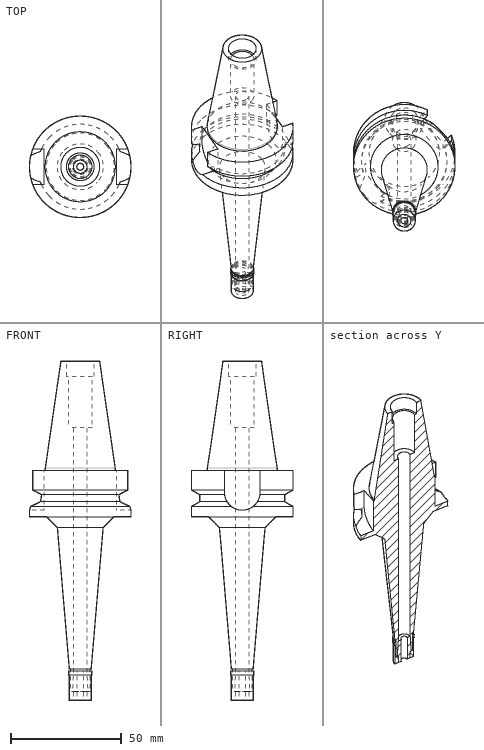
import cadquery as cq


gauge_diameter = 31.75
taper_rate = 7 / 24
taper_length = 48.4
shank_top_diameter = gauge_diameter - taper_rate * taper_length

flange_diameter = 46.0
flange_top_z = -1.0
flange_bottom_z = -22.0
groove_diameter = 38.6
groove_upper_edge_z = -9.9
groove_floor_top_z = -12.0
groove_floor_bottom_z = -15.1
groove_lower_edge_z = -17.3

slot_width = 16.1
slot_floor_offset = 16.3
slot_bottom_z = -19.0

shoulder_top_diameter = 30.6
shoulder_bottom_diameter = 20.8
shoulder_bottom_z = flange_bottom_z - (shoulder_top_diameter - shoulder_bottom_diameter) / 2
extension_end_diameter = 10.0
extension_end_z = -90.8

nut_diameter = 10.0
nut_collar_diameter = 10.6
nut_bottom_z = -105.0
nut_collar_bottom_z = -93.5
nut_top_z = -91.7

nose_diameter = 9.0
nose_bottom_z = -101.0

counterbore_diameter = 12.5
counterbore_depth = 7.0
thread_bore_diameter = 10.6
thread_bore_depth = 30.0
coolant_bore_diameter = 6.0

collet_top_z = nut_top_z
collet_top_diameter = coolant_bore_diameter
collet_seat_diameter = 7.0
collet_front_diameter = 6.0
collet_bore_diameter = 3.0


def revolve_profile(points):
    """Revolve a closed outline of (diameter, height) points around the Z axis."""
    outline = [(diameter / 2, height) for diameter, height in points]
    return cq.Workplane("XZ").polyline(outline).close().revolve(360, (0, 0), (0, 1))


def drive_slot(side):
    """Round-ended slot that runs down from the top of the flange on the +X or -X side."""
    radius = slot_width / 2
    depth = flange_diameter / 2 - slot_floor_offset
    return (
        cq.Workplane("YZ", origin=(side * slot_floor_offset, 0, 0))
        .moveTo(-radius, flange_top_z)
        .lineTo(-radius, slot_bottom_z + radius)
        .threePointArc((0, slot_bottom_z), (radius, slot_bottom_z + radius))
        .lineTo(radius, flange_top_z)
        .close()
        .extrude(side * depth)
    )


def make_holder():
    """Taper shank, flange, extension and nose, bored through from end to end."""
    thread_bore_bottom_z = taper_length - thread_bore_depth
    counterbore_floor_z = taper_length - counterbore_depth
    holder = revolve_profile([
        (counterbore_diameter, taper_length),
        (shank_top_diameter, taper_length),
        (gauge_diameter, 0),
        (gauge_diameter, flange_top_z),
        (flange_diameter, flange_top_z),
        (flange_diameter, groove_upper_edge_z),
        (groove_diameter, groove_floor_top_z),
        (groove_diameter, groove_floor_bottom_z),
        (flange_diameter, groove_lower_edge_z),
        (flange_diameter, flange_bottom_z),
        (shoulder_top_diameter, flange_bottom_z),
        (shoulder_bottom_diameter, shoulder_bottom_z),
        (extension_end_diameter, extension_end_z),
        (nose_diameter, extension_end_z),
        (nose_diameter, nose_bottom_z),
        (collet_seat_diameter, nose_bottom_z),
        (collet_top_diameter, collet_top_z),
        (coolant_bore_diameter, thread_bore_bottom_z),
        (thread_bore_diameter, thread_bore_bottom_z),
        (thread_bore_diameter, counterbore_floor_z),
        (counterbore_diameter, counterbore_floor_z),
    ])
    for side in (-1, 1):
        holder = holder.cut(drive_slot(side))
    return holder


def make_nut():
    """Slim sleeve around the nose, with a collar on top and a lip that holds the collet."""
    return revolve_profile([
        (nose_diameter, nut_top_z),
        (nut_collar_diameter, nut_top_z),
        (nut_collar_diameter, nut_collar_bottom_z),
        (nut_diameter, nut_collar_bottom_z),
        (nut_diameter, nut_bottom_z),
        (collet_front_diameter, nut_bottom_z),
        (collet_front_diameter, nose_bottom_z),
        (nose_diameter, nose_bottom_z),
    ])


def make_collet():
    """Tapered sleeve with a straight front end and a bore for the tool shank."""
    return revolve_profile([
        (collet_bore_diameter, collet_top_z),
        (collet_top_diameter, collet_top_z),
        (collet_seat_diameter, nose_bottom_z),
        (collet_front_diameter, nose_bottom_z),
        (collet_front_diameter, nut_bottom_z),
        (collet_bore_diameter, nut_bottom_z),
    ])


holder = make_holder()
nut = make_nut()
collet = make_collet()

result = cq.Compound.makeCompound([holder.val(), nut.val(), collet.val()])